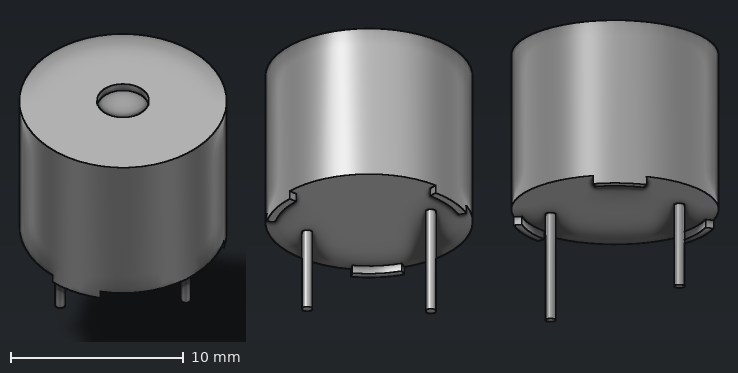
import cadquery as cq
import math

housing_diameter = 12.0
housing_height = 9.5
sound_hole_diameter = 3.0
sound_hole_depth = 0.5

foot_count = 3
foot_height = 0.5
foot_width = 0.5
foot_sweep = 30.0
first_foot_angle = 60.0
cut_margin = 0.16

overall_height = 16.0
pin_diameter = 0.6
pin_offset = 3.8
long_pin_length = overall_height - housing_height
short_pin_length = 5.0


def polar_point(radius, angle):
    """Point in the XY plane at a radius and an angle in degrees."""
    return (radius * math.cos(math.radians(angle)), radius * math.sin(math.radians(angle)))


def make_foot_blank(start_angle):
    """Ring sector with radial ends, reaching past the housing wall by the cut margin."""
    outer_radius = housing_diameter / 2 + cut_margin
    inner_radius = housing_diameter / 2 - foot_width
    middle_angle = start_angle + foot_sweep / 2
    end_angle = start_angle + foot_sweep
    return (
        cq.Workplane("XY")
        .moveTo(*polar_point(inner_radius, start_angle))
        .lineTo(*polar_point(outer_radius, start_angle))
        .threePointArc(polar_point(outer_radius, middle_angle), polar_point(outer_radius, end_angle))
        .lineTo(*polar_point(inner_radius, end_angle))
        .threePointArc(polar_point(inner_radius, middle_angle), polar_point(inner_radius, start_angle))
        .close()
        .extrude(-foot_height)
    )


def make_base_clearance():
    """Space around and between the feet, below the housing base."""
    clearance_radius = housing_diameter / 2 + 2 * cut_margin
    clearance = cq.Workplane("XY").circle(clearance_radius).extrude(-foot_height)
    for index in range(foot_count):
        clearance = clearance.cut(make_foot_blank(first_foot_angle + index * 360 / foot_count))
    return clearance


def make_housing():
    """Can with a shallow round recess in its top and feet left standing under its rim."""
    body = (
        cq.Workplane("XY")
        .workplane(offset=-foot_height)
        .circle(housing_diameter / 2)
        .extrude(foot_height + housing_height)
    )
    sound_hole = (
        cq.Workplane("XY")
        .workplane(offset=housing_height - sound_hole_depth)
        .circle(sound_hole_diameter / 2)
        .extrude(sound_hole_depth)
    )
    return body.cut(sound_hole).cut(make_base_clearance())


def make_pin(y_position, length):
    """Round lead hanging from the housing base."""
    return cq.Workplane("XY").center(0, y_position).circle(pin_diameter / 2).extrude(-length)


housing = make_housing()
pins = []
for y_position, length in [(pin_offset, long_pin_length), (-pin_offset, short_pin_length)]:
    pins.append(make_pin(y_position, length).val())

result = cq.Compound.makeCompound([housing.val(), *pins])